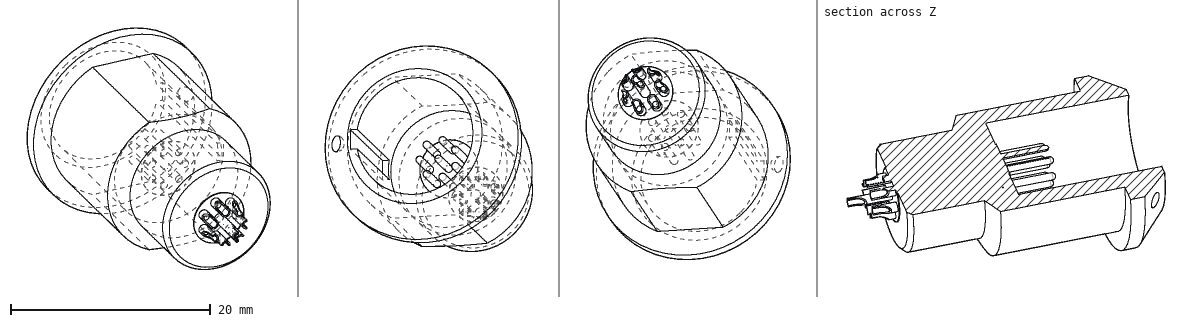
import cadquery as cq
import math


overall_length = 31.1
flange_radius = 9.95
mating_face_radius = 6.95
flange_cone_length = flange_radius - mating_face_radius
flange_back = 4.5
body_radius = 8.0
body_end = 17.5
flat_half_height = 7.25
rear_radius = 6.0
shoulder_angle = 28
shoulder_end = body_end + (body_radius - rear_radius) * math.tan(math.radians(shoulder_angle))
shell_end = 26.55
rear_chamfer = 0.5

bore_radius = 6.0
bore_depth = 15.0
keyway_width = 2.0
keyway_floor = 6.62
keyway_length = 14.0
dimple_radius = 0.8

insert_front_radius = 3.0
insert_rear_radius = 2.8
insert_step = 0.1
front_step_face = bore_depth - insert_step
rear_step_face = shell_end + insert_step

outer_contact_count = 7
contact_circle_radius = 1.93
pin_radius = 0.37
pin_length = 4.98
terminal_radius = 0.5
outer_terminal_end = 29.08
cup_bore_radius = 0.35
cup_length = 1.77
scoop_radius = 1.7


def cylinder_x(radius, start, end):
    """Cylinder on the X axis between two stations."""
    return cq.Workplane("YZ", origin=(start, 0, 0)).circle(radius).extrude(end - start)


def make_shell():
    profile = (
        cq.Workplane("XY")
        .moveTo(0, 0)
        .lineTo(0, mating_face_radius)
        .lineTo(flange_cone_length, flange_radius)
        .lineTo(flange_back, flange_radius)
        .lineTo(flange_back, body_radius)
        .lineTo(body_end, body_radius)
        .lineTo(shoulder_end, rear_radius)
        .lineTo(shell_end - rear_chamfer, rear_radius)
        .lineTo(shell_end, rear_radius - rear_chamfer)
        .lineTo(shell_end, 0)
        .close()
    )
    return profile.revolve(360, (0, 0, 0), (1, 0, 0))


def cut_body_flats(shell):
    """Flats on the top and bottom of the body behind the flange."""
    length = shoulder_end - flange_back
    depth = body_radius - flat_half_height
    for side in (1, -1):
        slab = cq.Workplane("XY").box(length, 2 * body_radius, depth)
        x_middle = flange_back + length / 2
        z_middle = side * (flat_half_height + depth / 2)
        shell = shell.cut(slab.translate((x_middle, 0, z_middle)))
    return shell


def cut_mating_bore(shell):
    keyway = (
        cq.Workplane("XY")
        .box(keyway_length, keyway_floor, keyway_width)
        .translate((keyway_length / 2, keyway_floor / 2, 0))
    )
    return shell.cut(cylinder_x(bore_radius, 0, bore_depth)).cut(keyway)


def cut_alignment_dimple(shell):
    """Spherical dimple half way up the flange cone, in line with the keyway."""
    x_center = flange_cone_length / 2
    y_center = mating_face_radius + flange_cone_length / 2
    return shell.cut(cq.Workplane("XY").sphere(dimple_radius).translate((x_center, y_center, 0)))


def make_contact(terminal_end):
    """Contact on the X axis: domed mating pin and solder cup opening towards +Y."""
    dome_center = bore_depth - pin_length + pin_radius
    pin = cylinder_x(pin_radius, dome_center, bore_depth)
    dome = cq.Workplane("XY").sphere(pin_radius).translate((dome_center, 0, 0))

    cup_start = terminal_end - cup_length
    terminal = cylinder_x(terminal_radius, bore_depth, terminal_end)
    terminal = terminal.cut(cylinder_x(cup_bore_radius, cup_start, terminal_end))

    entry_angle = math.acos(1 - terminal_radius / scoop_radius)
    run_out = cup_start + scoop_radius * math.sin(entry_angle)
    mid_x = run_out - scoop_radius * math.sin(entry_angle / 2)
    mid_y = scoop_radius * (1 - math.cos(entry_angle / 2))
    scoop = (
        cq.Workplane("XY")
        .moveTo(cup_start, terminal_radius)
        .threePointArc((mid_x, mid_y), (run_out, 0))
        .lineTo(terminal_end, 0)
        .lineTo(terminal_end, terminal_radius)
        .close()
        .extrude(terminal_radius, both=True)
    )
    return pin.union(dome).union(terminal.cut(scoop))


shell = cut_alignment_dimple(cut_mating_bore(cut_body_flats(make_shell())))

result = shell.union(cylinder_x(insert_front_radius, front_step_face, shell_end))
result = result.union(cylinder_x(insert_rear_radius, bore_depth, rear_step_face))

result = result.union(make_contact(overall_length))
outer_contact = make_contact(outer_terminal_end).translate((0, contact_circle_radius, 0))
for index in range(outer_contact_count):
    angle = index * 360 / outer_contact_count
    result = result.union(outer_contact.rotate((0, 0, 0), (1, 0, 0), angle))